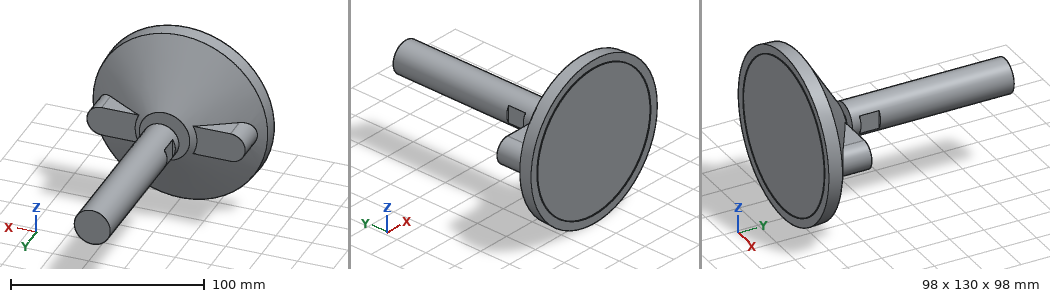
import cadquery as cq
import math


floor_diameter = 98.0
rim_height = 8.2
rim_draft = 3.0
plate_height = 30.0
crown_diameter = 28.0

groove_outer_diameter = 88.0
groove_inner_diameter = 87.5
groove_depth = 0.5

lug_span = 88.0
lug_width = 16.4
lug_top = 28.0

ball_diameter = 12.5
neck_diameter = 7.8
neck_start = 31.2

overall_length = 130.0
stem_diameter = 20.0
stem_start = 35.0
wrench_size = 17.0
flat_start = 40.0
flat_length = 11.5


def rod(diameter, start, end):
    """Cylinder on the Y axis between two heights above the floor face."""
    plane = cq.Workplane("XZ", origin=(0, start, 0))
    return plane.circle(diameter / 2).extrude(start - end)


def make_plate():
    """Drafted rim below a cone, turned about the Y axis."""
    floor_radius = floor_diameter / 2
    shoulder_radius = floor_radius - rim_height * math.tan(math.radians(rim_draft))
    profile = (
        cq.Workplane("XY")
        .lineTo(floor_radius, 0)
        .lineTo(shoulder_radius, rim_height)
        .lineTo(crown_diameter / 2, plate_height)
        .lineTo(0, plate_height)
        .close()
    )
    return profile.revolve(360, (0, 0, 0), (0, 1, 0))


def make_lugs():
    """Round-ended bar that leaves the cone on both sides."""
    bar_start = rim_height / 2
    plane = cq.Workplane("XZ", origin=(0, bar_start, 0))
    return plane.slot2D(lug_span, lug_width).extrude(bar_start - lug_top)


def make_groove():
    """Ring to be cut into the floor face."""
    disc = rod(groove_outer_diameter, 0, groove_depth)
    return disc.cut(rod(groove_inner_diameter, 0, groove_depth))


def make_joint():
    """Ball seated in the plate, with the neck that carries the stem."""
    ball_radius = ball_diameter / 2
    neck_radius = neck_diameter / 2
    ball_center = neck_start - math.sqrt(ball_radius**2 - neck_radius**2)
    ball = cq.Workplane("XY").sphere(ball_radius).translate((0, ball_center, 0))
    return ball.union(rod(neck_diameter, ball_center, stem_start))


def make_stem():
    """Round stem with opposite wrench flats facing -X and +X."""
    stem = rod(stem_diameter, stem_start, overall_length)
    cut_depth = (stem_diameter - wrench_size) / 2
    flat_middle = flat_start + flat_length / 2
    for side in (-1, 1):
        cutter = cq.Workplane("XY").box(cut_depth, flat_length, stem_diameter)
        cutter_x = side * (wrench_size + cut_depth) / 2
        stem = stem.cut(cutter.translate((cutter_x, flat_middle, 0)))
    return stem


foot = make_plate().union(make_lugs()).cut(make_groove())
result = foot.union(make_joint()).union(make_stem())